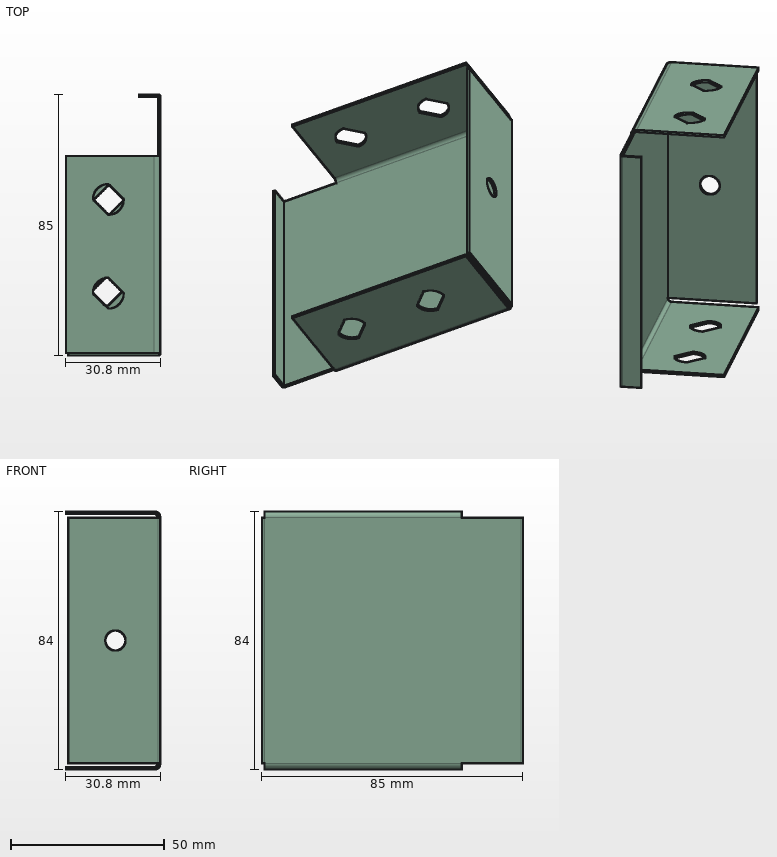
import cadquery as cq

WIDTH = 30.8
LENGTH = 85.0
HEIGHT = 84.0
SHEET = 0.8

BEND_RADIUS = 2.5 * SHEET
FLANGE_END = 65.0

FRONT_WALL_WIDTH = 30.0
REAR_LIP_WIDTH = 7.0
CORNER_RADIUS = SHEET
WEB_HEIGHT = HEIGHT - 2 * BEND_RADIUS

FRONT_HOLE_DIAMETER = 6.5
FRONT_HOLE_X = 16.15
SLOT_DIAMETER = 10.0
SLOT_FLATS = 7.0
SLOT_X = 13.85
TOP_SLOT_Y = (20.3, 50.8)
BOTTOM_SLOT_Y = (21.3, 50.5)
TOP_SLOT_ANGLE = -45
BOTTOM_SLOT_ANGLE = 45


def make_web_with_end_walls():
    """Upright sheet with a full-width front wall and a short rear lip."""
    web_inside = WIDTH - SHEET
    outline = (
        cq.Workplane("XY", origin=(0, 0, BEND_RADIUS))
        .moveTo(WIDTH - FRONT_WALL_WIDTH, 0)
        .lineTo(WIDTH, 0)
        .lineTo(WIDTH, LENGTH)
        .lineTo(WIDTH - REAR_LIP_WIDTH, LENGTH)
        .lineTo(WIDTH - REAR_LIP_WIDTH, LENGTH - SHEET)
        .lineTo(web_inside, LENGTH - SHEET)
        .lineTo(web_inside, SHEET)
        .lineTo(WIDTH - FRONT_WALL_WIDTH, SHEET)
        .close()
    )
    walls = outline.extrude(WEB_HEIGHT)
    return walls.edges("|Z and >X").fillet(CORNER_RADIUS)


def make_flange_channel():
    """C-shaped sheet: top flange, rounded bends, web and bottom flange."""
    inner_radius = BEND_RADIUS - SHEET
    depth = FLANGE_END - SHEET
    start = cq.Workplane("XY", origin=(0, SHEET, 0))
    outside = start.box(WIDTH, depth, HEIGHT, centered=False).edges("|Y and >X").fillet(BEND_RADIUS)
    inside = (
        start.box(WIDTH - SHEET, depth, HEIGHT - 2 * SHEET, centered=False)
        .translate((0, 0, SHEET))
        .edges("|Y and >X")
        .fillet(inner_radius)
    )
    return outside.cut(inside)


def make_slot_cutter(y, z, angle):
    """Double-D prism through one flange, with its flats turned by angle."""
    cutter_height = 3 * SHEET
    cylinder = cq.Workplane("XY").cylinder(cutter_height, SLOT_DIAMETER / 2)
    flats = cq.Workplane("XY").box(SLOT_DIAMETER, SLOT_FLATS, cutter_height)
    cutter = cylinder.intersect(flats).rotate((0, 0, 0), (0, 0, 1), angle)
    return cutter.translate((SLOT_X, y, z))


bracket = make_web_with_end_walls().union(make_flange_channel())

for slot_y in TOP_SLOT_Y:
    bracket = bracket.cut(make_slot_cutter(slot_y, HEIGHT - SHEET / 2, TOP_SLOT_ANGLE))
for slot_y in BOTTOM_SLOT_Y:
    bracket = bracket.cut(make_slot_cutter(slot_y, SHEET / 2, BOTTOM_SLOT_ANGLE))

front_hole = (
    cq.Workplane("XZ", origin=(FRONT_HOLE_X, SHEET / 2, HEIGHT / 2))
    .circle(FRONT_HOLE_DIAMETER / 2)
    .extrude(SHEET, both=True)
)
result = bracket.cut(front_hole)